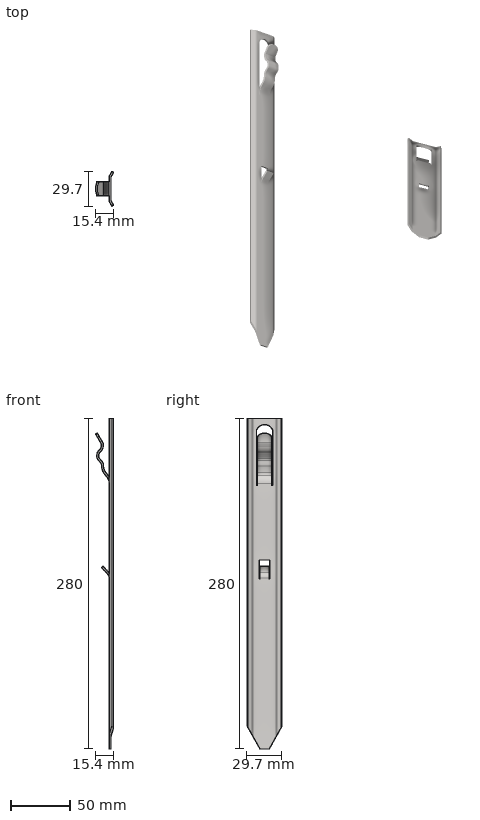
import cadquery as cq
import math


HEIGHT = 280.0
WIDTH = 29.7
THICKNESS = 1.82
MID_SHEET = THICKNESS / 2
THROUGH_DEPTH = WIDTH
WEB_HALF_WIDTH = 9.8
WING_ANGLE = 30.0
WING_OUTER_RADIUS = 3.5

FOOT_HEIGHT = 19.5
FOOT_TIP_WIDTH = 7.8

CLIP_WIDTH = 12.0
CLIP_TIP_RADIUS = 7.3
CLIP_SLOT_WIDTH = 13.5
CLIP_SLOT_BOTTOM = 223.5
CLIP_SLOT_TOP = 274.7
CLIP_SLOT_ARCH_RADIUS = 7.3
CLIP_ROOT_ANGLE = 39.0
CLIP_BULGE_ANGLE = 43.0
CLIP_SEAT_ANGLE = 52.0
CLIP_TIP_ANGLE = 30.0

CATCH_WIDTH = 7.8
CATCH_ANGLE = 43.0
WINDOW_WIDTH = 8.7
WINDOW_BOTTOM = 144.2
WINDOW_TOP = 160.2

WING_STRAIGHT = (
    WIDTH / 2 - WEB_HALF_WIDTH - WING_OUTER_RADIUS * math.sin(math.radians(WING_ANGLE))
) / math.cos(math.radians(WING_ANGLE))
WING_PATH = [
    ("straight", WEB_HALF_WIDTH),
    ("bend", WING_OUTER_RADIUS - MID_SHEET, -WING_ANGLE),
    ("straight", WING_STRAIGHT),
]
CLIP_PATH = [
    ("straight", 1.7),
    ("bend", 9.2, CLIP_ROOT_ANGLE),
    ("straight", 3.5),
    ("bend", 9.8, -CLIP_ROOT_ANGLE),
    ("bend", 6.0, CLIP_BULGE_ANGLE),
    ("straight", 2.5),
    ("bend", 2.8, -CLIP_BULGE_ANGLE),
    ("straight", 1.7),
    ("bend", 4.0, -CLIP_SEAT_ANGLE),
    ("bend", 6.0, CLIP_SEAT_ANGLE),
    ("straight", 1.5),
    ("bend", 1.5, CLIP_TIP_ANGLE),
    ("straight", 9.5),
]
CATCH_PATH = [
    ("straight", 0.8),
    ("bend", 5.5, CATCH_ANGLE),
    ("straight", 7.5),
]


def side_points(point, heading):
    """Points on the left and right sheet faces beside a mid-sheet point."""
    across = (-math.sin(heading) * MID_SHEET, math.cos(heading) * MID_SHEET)
    left = (point[0] + across[0], point[1] + across[1])
    right = (point[0] - across[0], point[1] - across[1])
    return left, right


def move(point, heading, distance):
    """Point reached by going straight along a heading."""
    return (point[0] + distance * math.cos(heading), point[1] + distance * math.sin(heading))


def arc_rise(radius, half_chord):
    """Height of an arc above its chord."""
    return radius - math.sqrt(radius**2 - half_chord**2)


def bent_sheet(plane, start, path, width):
    """Sheet following a path that sets off along the plane's local Y, centred across its width."""
    point = start
    heading = math.pi / 2
    left, right = side_points(point, heading)
    sheet_profile = cq.Workplane(plane).moveTo(*right).lineTo(*left)
    right_points = [right]
    right_middles = []
    for step in path:
        if step[0] == "straight":
            point = move(point, heading, step[1])
            left, right = side_points(point, heading)
            sheet_profile = sheet_profile.lineTo(*left)
            right_middles.append(None)
        else:
            radius = step[1]
            turn = math.radians(step[2])
            chord = 2 * radius * math.sin(abs(turn) / 4)
            middle = move(point, heading + turn / 4, chord)
            left_middle, right_middle = side_points(middle, heading + turn / 2)
            point = move(middle, heading + 3 * turn / 4, chord)
            heading += turn
            left, right = side_points(point, heading)
            sheet_profile = sheet_profile.threePointArc(left_middle, left)
            right_middles.append(right_middle)
        right_points.append(right)

    sheet_profile = sheet_profile.lineTo(*right_points[-1])
    for middle, end in zip(reversed(right_middles), reversed(right_points[:-1])):
        if middle is None:
            sheet_profile = sheet_profile.lineTo(*end)
        else:
            sheet_profile = sheet_profile.threePointArc(middle, end)
    return sheet_profile.close().extrude(width / 2, both=True)


def channel():
    """Web with a wing along each side, trimmed to the pointed foot."""
    wing = bent_sheet("XY", (MID_SHEET, 0), WING_PATH, 2 * HEIGHT)
    untrimmed = wing.union(wing.mirror("XZ"))
    stake_outline = (
        cq.Workplane("YZ")
        .moveTo(-FOOT_TIP_WIDTH / 2, 0)
        .lineTo(FOOT_TIP_WIDTH / 2, 0)
        .lineTo(WIDTH / 2, FOOT_HEIGHT)
        .lineTo(WIDTH / 2, HEIGHT)
        .lineTo(-WIDTH / 2, HEIGHT)
        .lineTo(-WIDTH / 2, FOOT_HEIGHT)
        .close()
        .extrude(THROUGH_DEPTH, both=True)
    )
    return untrimmed.intersect(stake_outline)


def clip_slot():
    """Straight-sided slot closed at the top by a shallow arch."""
    half_width = CLIP_SLOT_WIDTH / 2
    shoulder = CLIP_SLOT_TOP - arc_rise(CLIP_SLOT_ARCH_RADIUS, half_width)
    return (
        cq.Workplane("YZ")
        .moveTo(-half_width, CLIP_SLOT_BOTTOM)
        .lineTo(half_width, CLIP_SLOT_BOTTOM)
        .lineTo(half_width, shoulder)
        .threePointArc((0, CLIP_SLOT_TOP), (-half_width, shoulder))
        .close()
        .extrude(THROUGH_DEPTH, both=True)
    )


def spring_clip():
    """Wavy tongue with a rounded free end."""
    clip = bent_sheet("XZ", (MID_SHEET, CLIP_SLOT_BOTTOM), CLIP_PATH, CLIP_WIDTH)
    half_width = CLIP_WIDTH / 2
    tip_drop = arc_rise(CLIP_TIP_RADIUS, half_width)
    tip_angle = math.radians(CLIP_TIP_ANGLE)
    tip_x, _, tip_z = clip.vertices(">Z").val().toTuple()
    tip_plane = cq.Plane(
        origin=(tip_x, 0, tip_z),
        xDir=(0, 1, 0),
        normal=(math.cos(tip_angle), 0, math.sin(tip_angle)),
    )
    corner_waste = (
        cq.Workplane(tip_plane)
        .moveTo(-half_width, -tip_drop)
        .threePointArc((0, 0), (half_width, -tip_drop))
        .lineTo(half_width, tip_drop)
        .lineTo(-half_width, tip_drop)
        .close()
        .extrude(THICKNESS, both=True)
    )
    return clip.cut(corner_waste)


def window():
    """Rectangular opening around the catch."""
    return (
        cq.Workplane("YZ")
        .center(0, (WINDOW_BOTTOM + WINDOW_TOP) / 2)
        .rect(WINDOW_WIDTH, WINDOW_TOP - WINDOW_BOTTOM)
        .extrude(THROUGH_DEPTH, both=True)
    )


def catch():
    """Short straight tongue leaning out of the window."""
    return bent_sheet("XZ", (MID_SHEET, WINDOW_BOTTOM), CATCH_PATH, CATCH_WIDTH)


result = channel().cut(clip_slot()).cut(window()).union(spring_clip()).union(catch())